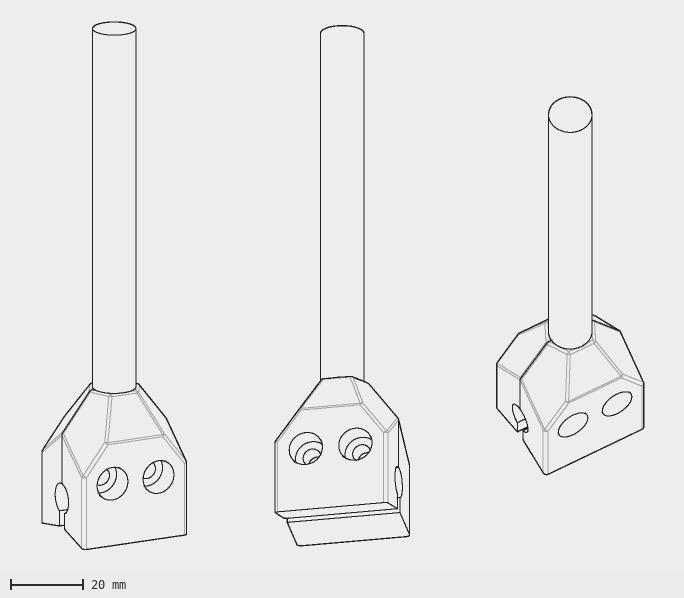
import cadquery as cq
import math

total_height = 144.7
head_width = 27.0
head_depth = 32.0
head_height = 41.1

rod_diameter = 12.0

taper_top_width = 12.5
taper_top_depth = 14.8
taper_flat_length = 8.2
taper_angle = 32.7
edge_radius = 1.0

notch_rise = 2.9

bore_diameter = 8.5
bore_height = 11.0
slot_width = 3.0

screw_diameter = 5.0
screw_spacing = 14.0
screw_height = 18.0
counterbore_diameter = 9.4
counterbore_depth = 7.2


def taper_section(scale):
    """Corners of the six-sided taper section, enlarged from its size at the top face."""
    half_width = scale * taper_top_width / 2
    half_depth = scale * taper_top_depth / 2
    half_flat = scale * taper_flat_length / 2
    return [
        (half_width, -half_flat),
        (half_width, half_flat),
        (0, half_depth),
        (-half_width, half_flat),
        (-half_width, -half_flat),
        (0, -half_depth),
    ]


def tapered_block():
    """Rectangular block with a six-sided taper and rounded edges, flat underneath."""
    base_width = taper_top_width + 2 * head_height * math.tan(math.radians(taper_angle))
    taper = (
        cq.Workplane("XY")
        .polyline(taper_section(base_width / taper_top_width))
        .close()
        .workplane(offset=head_height)
        .polyline(taper_section(1))
        .close()
        .loft(ruled=True)
    )
    block = cq.Workplane("XY").box(head_width, head_depth, head_height, centered=(True, True, False))
    return block.intersect(taper).edges("not(<Z)").fillet(edge_radius)


def underside_notch():
    """Wedge that hollows the underside towards the middle."""
    half_width = head_width / 2
    return (
        cq.Workplane("XZ")
        .polyline([(-half_width, 0), (0, notch_rise), (half_width, 0)])
        .close()
        .extrude(head_depth / 2, both=True)
    )


def keyhole():
    """Round bore along Y with a slot leading down to the underside."""
    bore = (
        cq.Workplane("XZ", origin=(0, 0, bore_height))
        .circle(bore_diameter / 2)
        .extrude(head_depth / 2, both=True)
    )
    slot = cq.Workplane("XY").box(slot_width, head_depth, bore_height, centered=(True, True, False))
    return bore.union(slot)


def screw_holes():
    """Counterbored half of each screw hole, from the outer side at -X to the middle."""
    outer_face = cq.Workplane("YZ", origin=(-head_width / 2, 0, screw_height))
    centres = [(-screw_spacing / 2, 0), (screw_spacing / 2, 0)]
    shanks = outer_face.pushPoints(centres).circle(screw_diameter / 2).extrude(head_width / 2)
    counterbores = outer_face.pushPoints(centres).circle(counterbore_diameter / 2).extrude(counterbore_depth)
    return shanks.union(counterbores)


def make_jaw(turn):
    """One half of the head: the -X half, turned about Z by the given angle."""
    half_space = cq.Workplane("XY").box(
        head_width / 2, head_depth, head_height, centered=(False, True, False)
    ).translate((-head_width / 2, 0, 0))
    jaw = tapered_block().intersect(half_space)
    jaw = jaw.cut(underside_notch()).cut(keyhole()).cut(screw_holes())
    return jaw.rotate((0, 0, 0), (0, 0, 1), turn)


def make_rod():
    """Plain round rod standing on the top face of the two jaws."""
    return (
        cq.Workplane("XY", origin=(0, 0, head_height))
        .circle(rod_diameter / 2)
        .extrude(total_height - head_height)
    )


rod = make_rod()
jaws = [make_jaw(turn) for turn in (0, 180)]

result = cq.Compound.makeCompound([rod.val(), *[jaw.val() for jaw in jaws]])